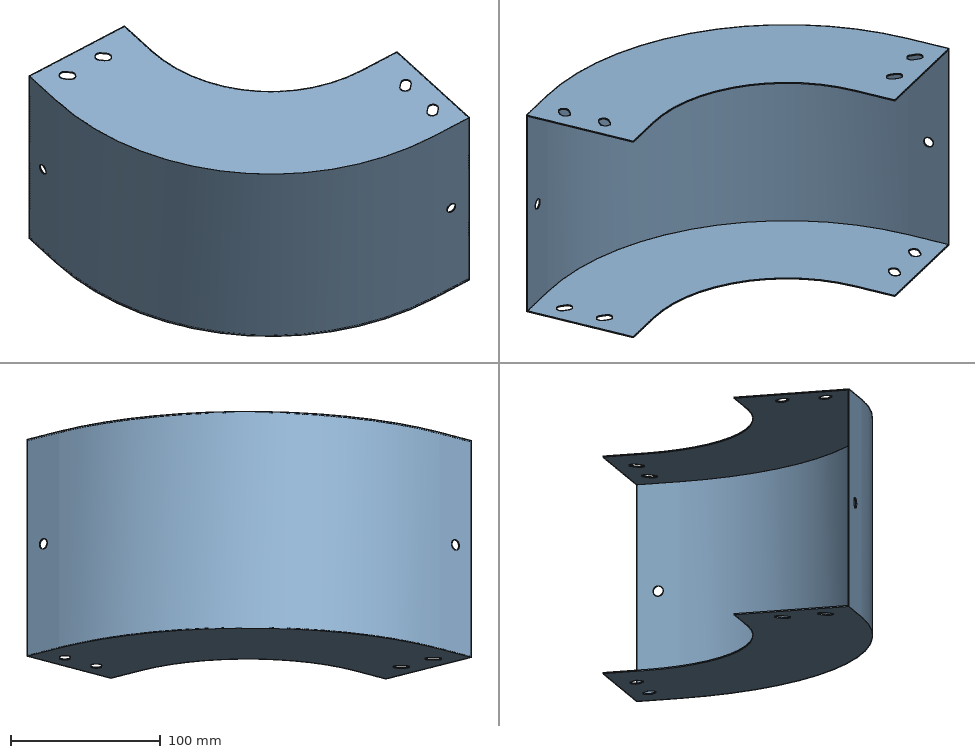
import cadquery as cq
import math

SHEET = 0.8
HEIGHT = 150.0
FLANGE_WIDTH = 80.0
INNER_RADIUS = 100.0
STRAIGHT = 30.0

SLOT_ANGLE = 45.0
SLOT_WIDTH = 7.0
SLOT_LENGTH = 11.0
SLOT_INSET = 20.0
SLOT_PITCH = 30.0
WALL_HOLE_DIAMETER = 7.0

OUTER_RADIUS = INNER_RADIUS + FLANGE_WIDTH
SIZE = STRAIGHT + OUTER_RADIUS
HOLE_END = STRAIGHT / 2
SLOT_EDGE = SHEET + SLOT_INSET
BEND_CENTRE = (STRAIGHT, OUTER_RADIUS)


def bend_band(inner_radius, outer_radius, height):
    """Quarter bend with a straight at both ends, bounded by two concentric radii."""
    centre_x, centre_y = BEND_CENTRE
    diagonal = math.sqrt(0.5)

    def middle(radius):
        return (centre_x + radius * diagonal, centre_y - radius * diagonal)

    return (
        cq.Workplane("XY")
        .moveTo(0, centre_y - outer_radius)
        .lineTo(centre_x, centre_y - outer_radius)
        .threePointArc(middle(outer_radius), (centre_x + outer_radius, centre_y))
        .lineTo(centre_x + outer_radius, SIZE)
        .lineTo(centre_x + inner_radius, SIZE)
        .lineTo(centre_x + inner_radius, centre_y)
        .threePointArc(middle(inner_radius), (centre_x, centre_y - inner_radius))
        .lineTo(0, centre_y - inner_radius)
        .close()
        .extrude(height)
    )


def channel():
    """Outer wall with a flange along its top and its bottom."""
    wall = bend_band(OUTER_RADIUS - SHEET, OUTER_RADIUS, HEIGHT)
    flange = bend_band(INNER_RADIUS, OUTER_RADIUS, SHEET)
    top_flange = flange.translate((0, 0, HEIGHT - SHEET))
    return wall.union(flange).union(top_flange)


def slots(centres, angle, flange_base):
    """Slots through one flange, turned by angle from the X axis."""
    return (
        cq.Workplane("XY", origin=(0, 0, flange_base))
        .pushPoints(centres)
        .slot2D(SLOT_LENGTH, SLOT_WIDTH, angle)
        .extrude(SHEET)
    )


def flange_slots():
    """Two diagonal slots at each end of each flange; top and bottom slots cross."""
    edge_distances = [SLOT_EDGE, SLOT_EDGE + SLOT_PITCH]
    x_end = [(HOLE_END, distance) for distance in edge_distances]
    y_end = [(SIZE - distance, SIZE - HOLE_END) for distance in edge_distances]
    top_base = HEIGHT - SHEET
    cutters = slots(x_end, SLOT_ANGLE, top_base)
    cutters = cutters.union(slots(y_end, -SLOT_ANGLE, top_base))
    cutters = cutters.union(slots(x_end, -SLOT_ANGLE, 0))
    return cutters.union(slots(y_end, SLOT_ANGLE, 0))


def wall_holes():
    """One round hole at mid height through the wall at each straight end."""
    radius = WALL_HOLE_DIAMETER / 2
    mid_height = HEIGHT / 2
    x_end = cq.Solid.makeCylinder(
        radius, SHEET, cq.Vector(HOLE_END, 0, mid_height), cq.Vector(0, 1, 0)
    )
    y_end = cq.Solid.makeCylinder(
        radius, SHEET, cq.Vector(SIZE, SIZE - HOLE_END, mid_height), cq.Vector(-1, 0, 0)
    )
    return cq.Workplane("XY").add(x_end).add(y_end).combine()


result = channel().cut(flange_slots()).cut(wall_holes())